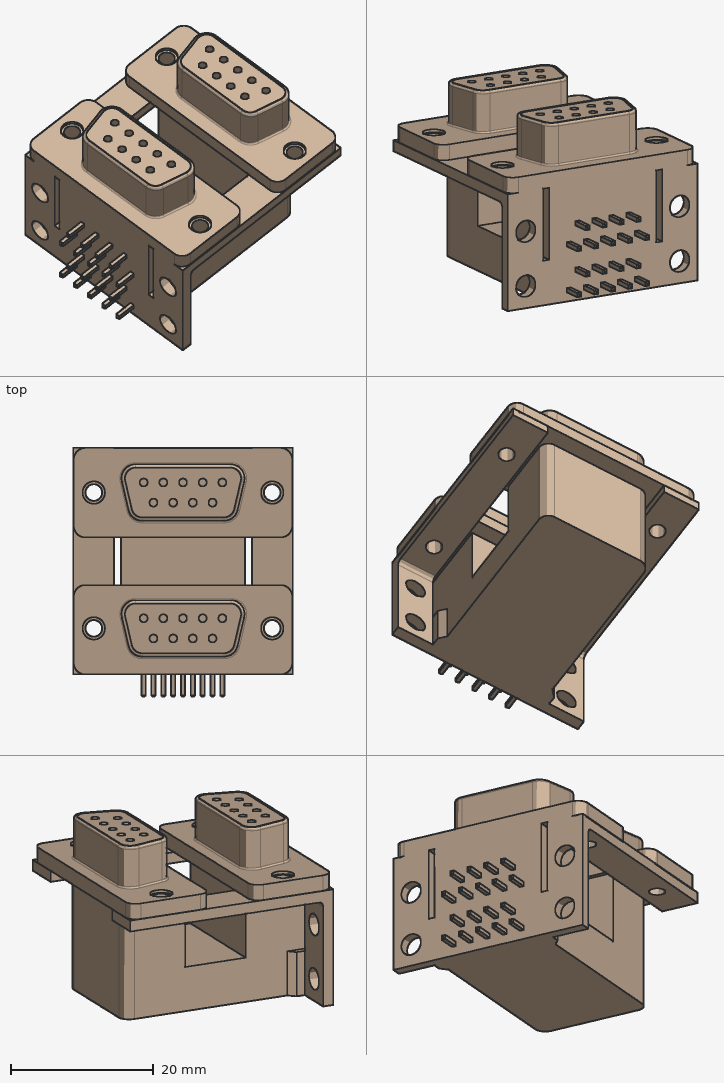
import cadquery as cq
import math


body_width = 17.4
body_depth = 29.5
body_corner_radius = 1.6
mount_height = 17.05

notch_front = 10.4
notch_back = 19.9
notch_floor = 6.55

overall_width = 30.83
bracket_depth = 31.8
bracket_gap = 0.95
bracket_thickness = 1.6
bracket_bend_radius = 0.7
bracket_inner_x = body_width / 2 + bracket_gap
bracket_width = overall_width / 2 - bracket_inner_x

tab_outer_depth = 2.9
tab_inner_depth = 3.9

connector_centers_y = (6.45, 25.5)
flange_fronts_y = (0, 19.22)
flange_width = 30.6
flange_depth = 12.55
flange_corner_radius = 1.6
flange_height = 2.27
flange_top = mount_height + flange_height

overall_height = 25.45
shell_width = 17.25
shell_depth = 7.95
shell_side_angle = 13
shell_corner_radius = 1.95
shell_rim_radius = 0.4
shell_base_radius = 0.25
shell_height = overall_height - flange_top
insert_margin = 0.5
insert_recess = 0.07

contact_pitch = 2.75
socket_row_spacing = 2.83
socket_row_offset = socket_row_spacing / 2
socket_diameter = 1.12
pin_size = 0.63
pin_length = 3.15
pin_tip_chamfer = 0.25
pin_rows = ((1.68, 5), (4.47, 4), (8.4, 5), (11.25, 4))

fixing_x = 12.5
bracket_hole_diameter = 3.15
bracket_hole_heights = (3.25, 11.25)
flange_hole_diameter = 2.3
counterbore_diameter = 3.15
counterbore_depth = 0.42


def row_positions(count):
    """X positions of evenly spaced contacts centred on the part."""
    return [(i - (count - 1) / 2) * contact_pitch for i in range(count)]


def make_body():
    body = (
        cq.Workplane("XY")
        .box(body_width, body_depth, mount_height, centered=(True, False, False))
        .edges("|Z and >Y")
        .fillet(body_corner_radius)
    )
    notch = (
        cq.Workplane("XY", origin=(0, notch_front, notch_floor))
        .box(body_width, notch_back - notch_front, mount_height, centered=(True, False, False))
    )
    return body.cut(notch)


def make_right_bracket():
    bracket = (
        cq.Workplane("YZ", origin=(bracket_inner_x, 0, 0))
        .lineTo(bracket_thickness, 0)
        .lineTo(bracket_thickness, mount_height - bracket_thickness)
        .lineTo(bracket_depth, mount_height - bracket_thickness)
        .lineTo(bracket_depth, mount_height)
        .lineTo(0, mount_height)
        .close()
        .extrude(bracket_width)
    )
    inner_bend = cq.selectors.NearestToPointSelector(
        (bracket_inner_x + bracket_width / 2, bracket_thickness, mount_height - bracket_thickness)
    )
    bracket = bracket.edges(inner_bend).fillet(bracket_bend_radius)
    holes = (
        cq.Workplane("XZ")
        .pushPoints([(fixing_x, height) for height in bracket_hole_heights])
        .circle(bracket_hole_diameter / 2)
        .extrude(-bracket_thickness)
    )
    return bracket.cut(holes)


def make_right_tab():
    return (
        cq.Workplane("XY")
        .moveTo(body_width / 2, 0)
        .lineTo(bracket_inner_x, 0)
        .lineTo(bracket_inner_x, tab_outer_depth)
        .lineTo(body_width / 2, tab_inner_depth)
        .close()
        .extrude(notch_floor)
    )


def make_flange(front_y):
    return (
        cq.Workplane("XY", origin=(0, front_y, mount_height))
        .box(flange_width, flange_depth, flange_height, centered=(True, False, False))
        .edges("|Z")
        .fillet(flange_corner_radius)
    )


def make_shell_outline(center_y, base_z):
    """Symmetric D outline with rounded corners, wide edge to the back."""
    lean = math.radians(shell_side_angle)
    radius = shell_corner_radius
    half_depth = shell_depth / 2
    wide_center_x = shell_width / 2 - radius
    narrow_center_x = wide_center_x - (shell_depth - 2 * radius) * math.tan(lean)
    wide_x = wide_center_x + radius * math.tan(math.pi / 4 + lean / 2)
    narrow_x = narrow_center_x + radius * math.tan(math.pi / 4 - lean / 2)
    outline = (
        cq.Sketch()
        .polygon([
            (-wide_x, half_depth),
            (wide_x, half_depth),
            (narrow_x, -half_depth),
            (-narrow_x, -half_depth),
            (-wide_x, half_depth),
        ])
        .vertices()
        .fillet(radius)
    )
    return cq.Workplane("XY", origin=(0, center_y, base_z)).placeSketch(outline)


def make_connector(front_y, center_y):
    """Flange and shell, blended at the shell base and hollowed at its face."""
    shell = (
        make_shell_outline(center_y, flange_top)
        .extrude(shell_height)
        .faces(">Z")
        .edges()
        .fillet(shell_rim_radius)
    )
    recess = (
        make_shell_outline(center_y, overall_height - insert_recess)
        .extrude(insert_recess)
        .faces("<Z")
        .wires()
        .toPending()
        .offset2D(-insert_margin)
        .extrude(insert_recess, combine=False)
    )
    return (
        make_flange(front_y)
        .union(shell)
        .faces(cq.selectors.NearestToPointSelector((0, center_y, flange_top)))
        .wires(cq.selectors.LengthNthSelector(0))
        .edges()
        .fillet(shell_base_radius)
        .cut(recess)
    )


def make_sockets(center_y):
    upper_row = [(x, center_y + socket_row_offset) for x in row_positions(5)]
    lower_row = [(x, center_y - socket_row_offset) for x in row_positions(4)]
    return (
        cq.Workplane("XY", origin=(0, 0, flange_top))
        .pushPoints(upper_row + lower_row)
        .circle(socket_diameter / 2)
        .extrude(shell_height)
    )


def make_flange_holes(center_y):
    centers = [(-fixing_x, center_y), (fixing_x, center_y)]
    through = (
        cq.Workplane("XY", origin=(0, 0, mount_height - bracket_thickness))
        .pushPoints(centers)
        .circle(flange_hole_diameter / 2)
        .extrude(bracket_thickness + flange_height)
    )
    counterbore = (
        cq.Workplane("XY", origin=(0, 0, flange_top - counterbore_depth))
        .pushPoints(centers)
        .circle(counterbore_diameter / 2)
        .extrude(counterbore_depth)
    )
    return through.union(counterbore)


def make_pins():
    centers = [(x, height) for height, count in pin_rows for x in row_positions(count)]
    return (
        cq.Workplane("XZ")
        .pushPoints(centers)
        .rect(pin_size, pin_size)
        .extrude(pin_length)
        .faces("<Y")
        .chamfer(pin_tip_chamfer)
    )


right_side = make_right_bracket().union(make_right_tab())
part = make_body().union(right_side).union(right_side.mirror("YZ"))

for front_y, center_y in zip(flange_fronts_y, connector_centers_y):
    part = part.union(make_connector(front_y, center_y))
    part = part.cut(make_sockets(center_y)).cut(make_flange_holes(center_y))

result = part.union(make_pins())